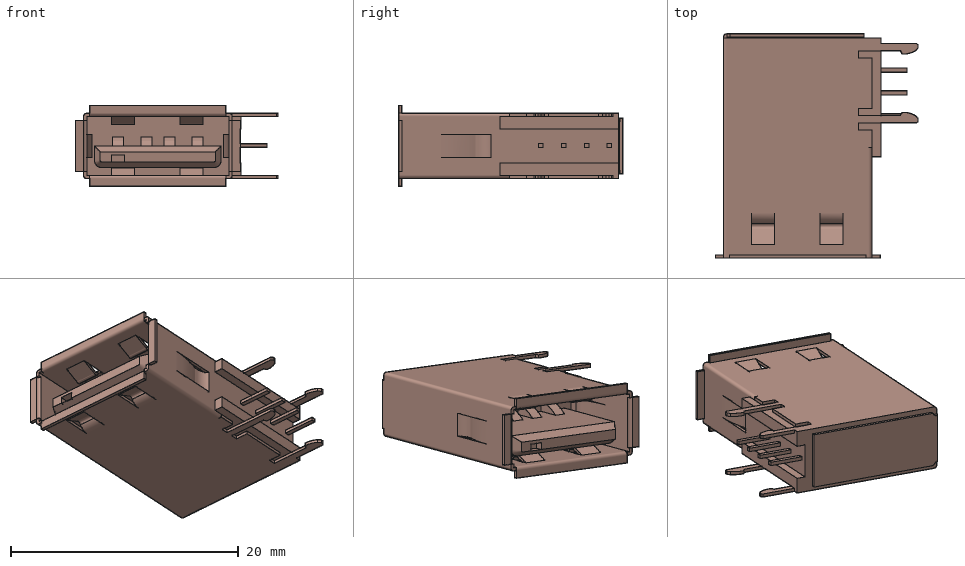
import cadquery as cq


sheet = 0.3
shell_width = 13.06
shell_height = 5.75
shell_length = 19.33
total_length = 19.7
right_wall_length = 9.73
half_height = shell_height / 2
inner_half_height = half_height - sheet

side_lip_reach = 0.7
side_lip_half_span = 2.25
total_height = 7.11
face_lip_half_height = total_height / 2
face_lip_start = 0.55
face_lip_end = shell_width - face_lip_start

back_plate_end = 12.35
back_plate_half_height = 2.45
back_neck_half_height = 2.17

housing_front = 8.88
housing_right = 13.85
housing_channel_half_height = 1.5
tongue_left = 0.98
tongue_right = 12.08
tongue_top = -0.02
tongue_bottom = -1.9
tongue_front = 0.5
tongue_bevel_width = 0.5
tongue_bevel_length = 0.87
tongue_corner = 0.6
tip_corner = 0.1
key_notch_left = 2.46
key_notch_width = 1.16
key_notch_bottom = -1.42
key_notch_height = 0.61
key_notch_depth = 0.79

contact_width = 0.98
contact_centers = (3.03, 5.54, 7.56, 10.03)
contact_knee = 0.4
contact_peak = 0.77
contact_front = 6.7
contact_knee_y = 7.29
contact_peak_y = 8.08
pin_size = 0.4
pin_thickness = 0.32
pin_z = 0.04
pin_end = 16.13
pin_pitch = 2.0
pin_count = 4

leg_width = 0.65
leg_tip_chamfer = 0.14
hook_length = 1.55
hook_ramp = 0.14
hook_crest = 0.4
hook_height = 0.28
hook_nose = 0.24
hook_nose_offset = 0.05
hook_nose_bulge = 0.18
leg_tip = 17.1
leg_slot_depth = 11.85
leg_slot_width = 0.63
rear_leg_y = 18.52
front_leg_y = 12.2

face_spring_lefts = (2.46, 8.47)
face_spring_width = 2.03
face_spring_reach = 0.7
face_spring_front = 1.2
face_spring_ramp_end = 2.6
face_spring_ramp_depth = 0.63
face_spring_bottom = 2.82
face_spring_rise = 3.05
face_spring_rise_depth = 0.5
face_spring_rise_middle = 3.39
face_spring_rise_middle_depth = 0.15
face_spring_back = 3.9
side_spring_half_width = 1.02
side_spring_reach = 0.47
side_spring_front = 3.76
side_spring_flat_start = 6.75
side_spring_flat_end = 7.1
side_spring_back = 8.1


def block(x0, x1, y0, y1, z0, z1):
    """Box given by its limits along each axis."""
    return cq.Workplane("XY").box(x1 - x0, y1 - y0, z1 - z0, centered=False).translate((x0, y0, z0))


def both_faces(shape):
    """A shape on the upper shell face together with its copy on the lower one."""
    return shape.union(shape.mirror("XY"))


def make_shell():
    """Rectangular tube with rounded long edges, open along the back half of its right side."""
    tube = block(0, shell_width, 0, shell_length, -half_height, half_height)
    tube = tube.edges("|Y").fillet(sheet)
    inner_right = shell_width - sheet
    tube = tube.cut(block(sheet, inner_right, 0, shell_length, -inner_half_height, inner_half_height))
    open_side = block(inner_right, shell_width, right_wall_length, shell_length, -half_height, half_height)
    edge_strip = block(
        inner_right, shell_width, right_wall_length, shell_length, inner_half_height, half_height
    )
    rear_corner = block(
        shell_width, housing_right, rear_leg_y, shell_length, inner_half_height, half_height
    )
    return tube.cut(open_side).union(both_faces(edge_strip)).union(both_faces(rear_corner))


def make_leg(center_y, hook_side):
    """Board leg on the upper face; hook_side is the Y direction (+1 or -1) of its hook."""
    half = leg_width / 2
    crest = half + hook_height
    hook_start = leg_tip - hook_length
    crest_start = hook_start + hook_ramp
    crest_end = crest_start + hook_crest
    nose_start = leg_tip - hook_nose
    nose_arc_middle = ((crest_end + nose_start) / 2, (half + hook_nose_bulge) * hook_side)
    return (
        cq.Workplane("XY", origin=(0, center_y, inner_half_height))
        .moveTo(leg_slot_depth, -half * hook_side)
        .lineTo(leg_tip - leg_tip_chamfer, -half * hook_side)
        .lineTo(leg_tip, (leg_tip_chamfer - half) * hook_side)
        .lineTo(leg_tip, hook_nose_offset * hook_side)
        .lineTo(nose_start, half * hook_side)
        .threePointArc(nose_arc_middle, (crest_end, crest * hook_side))
        .lineTo(crest_start, crest * hook_side)
        .lineTo(hook_start, half * hook_side)
        .lineTo(leg_slot_depth, half * hook_side)
        .close()
        .extrude(sheet)
    )


def leg_slot(y0):
    """Relief slot beside a leg, through the upper face."""
    return block(leg_slot_depth, housing_right, y0, y0 + leg_slot_width, inner_half_height, half_height)


def flare_lip(shell, lip, bend_cutter):
    """Add a lip to the shell and round the mouth edge where the sheet bends into it."""
    return shell.union(lip).cut(bend_cutter)


def make_face_lip():
    """Lip turned outwards from the upper face."""
    return block(face_lip_start, face_lip_end, 0, sheet, half_height, face_lip_half_height)


def make_face_bend_cutter():
    """Material removed outside the bend between the upper face and its lip."""
    return (
        cq.Workplane("YZ", origin=(face_lip_start, 0, 0))
        .moveTo(0, half_height)
        .radiusArc((sheet, inner_half_height), -sheet)
        .lineTo(0, inner_half_height)
        .close()
        .extrude(face_lip_end - face_lip_start)
    )


def make_left_lip():
    """Lip turned outwards from the left wall."""
    return block(-side_lip_reach, 0, 0, sheet, -side_lip_half_span, side_lip_half_span)


def make_left_bend_cutter():
    """Material removed outside the bend between the left wall and its lip."""
    return (
        cq.Workplane("XY", origin=(0, 0, -side_lip_half_span))
        .moveTo(0, 0)
        .radiusArc((sheet, sheet), sheet)
        .lineTo(sheet, 0)
        .close()
        .extrude(2 * side_lip_half_span)
    )


def mirror_across_width(shape):
    """The same shape moved to the opposite side wall."""
    return shape.mirror("YZ", (shell_width / 2, 0, 0))


def press_in(shell, pocket, inward):
    """Press a dent into the shell, pushing the sheet inwards along the given shift."""
    return shell.union(pocket.translate(inward)).cut(pocket)


def face_spring_pocket(left):
    """Dent in the upper face: a ramp from the mouth, a rounded bottom and a curved rise to the back."""
    ramp_end = (face_spring_ramp_end, half_height - face_spring_ramp_depth)
    bottom = (face_spring_bottom, half_height - face_spring_reach)
    rise_start = (face_spring_rise, half_height - face_spring_rise_depth)
    rise_middle = (face_spring_rise_middle, half_height - face_spring_rise_middle_depth)
    return (
        cq.Workplane("YZ", origin=(left, 0, 0))
        .moveTo(face_spring_front, half_height)
        .lineTo(*ramp_end)
        .threePointArc(bottom, rise_start)
        .threePointArc(rise_middle, (face_spring_back, half_height))
        .close()
        .extrude(face_spring_width)
    )


def side_spring_pocket():
    """Dent in the left wall: a long arc from the mouth, a short flat bottom and a steep curved end."""
    long_run = side_spring_flat_start - side_spring_front
    long_radius = (long_run**2 + side_spring_reach**2) / (2 * side_spring_reach)
    end_run = side_spring_back - side_spring_flat_end
    end_radius = (end_run**2 + side_spring_reach**2) / (2 * side_spring_reach)
    return (
        cq.Workplane("XY", origin=(0, 0, -side_spring_half_width))
        .moveTo(0, side_spring_front)
        .radiusArc((side_spring_reach, side_spring_flat_start), long_radius)
        .lineTo(side_spring_reach, side_spring_flat_end)
        .radiusArc((0, side_spring_back), -end_radius)
        .close()
        .extrude(2 * side_spring_half_width)
    )


def make_back_plate():
    """Plate closing the back, bent from the left wall through a narrower neck."""
    corner = back_plate_half_height - back_neck_half_height
    neck = block(
        0, sheet + corner, shell_length, total_length, -back_neck_half_height, back_neck_half_height
    )
    neck = neck.edges("|Z and <X and >Y").fillet(sheet)
    plate = block(
        sheet, back_plate_end, total_length - sheet, total_length,
        -back_plate_half_height, back_plate_half_height,
    )
    plate = plate.edges("|Y and <X").chamfer(corner)
    return neck.union(plate)


def make_housing():
    """Plastic block filling the back of the shell, channelled along its open side."""
    body = block(sheet, housing_right, housing_front, shell_length, -inner_half_height, inner_half_height)
    channel = block(
        shell_width, housing_right, housing_front, shell_length,
        -housing_channel_half_height, housing_channel_half_height,
    )
    return body.cut(channel)


def tongue_section(y, inset, corner):
    """Tongue outline at depth y, shrunk by the inset, with rounded lower corners."""
    left = tongue_left + inset
    right = tongue_right - inset
    top = tongue_top - inset
    bottom = tongue_bottom + inset
    return (
        cq.Workplane("XZ", origin=(0, y, 0))
        .moveTo(left, top)
        .lineTo(right, top)
        .lineTo(right, bottom + corner)
        .radiusArc((right - corner, bottom), corner)
        .lineTo(left + corner, bottom)
        .radiusArc((left, bottom + corner), corner)
        .close()
    )


def make_tongue():
    """Tongue reaching from the housing towards the mouth, with a bevelled tip and a key notch."""
    bevel_end = tongue_front + tongue_bevel_length
    tongue = tongue_section(housing_front, 0, tongue_corner).extrude(housing_front - bevel_end)
    tip_wire = tongue_section(tongue_front, tongue_bevel_width, tip_corner)
    base_wire = tongue_section(bevel_end, 0, tongue_corner)
    tip = cq.Solid.makeLoft([base_wire.val(), tip_wire.val()], True)
    tongue = tongue.union(cq.Workplane(tip))
    notch = block(
        key_notch_left, key_notch_left + key_notch_width, tongue_front, tongue_front + key_notch_depth,
        key_notch_bottom, key_notch_bottom + key_notch_height,
    )
    return tongue.cut(notch)


def make_contact(center):
    """Sprung contact rising in two slopes from the top of the tongue to the housing."""
    return (
        cq.Workplane("YZ", origin=(center - contact_width / 2, 0, 0))
        .moveTo(contact_front, tongue_top)
        .lineTo(contact_knee_y, contact_knee)
        .lineTo(contact_peak_y, contact_peak)
        .lineTo(housing_front, contact_peak)
        .lineTo(housing_front, tongue_top)
        .close()
        .extrude(contact_width)
    )


shell = make_shell()
left_lip = make_left_lip()
left_bend_cutter = make_left_bend_cutter()
shell = flare_lip(shell, both_faces(make_face_lip()), both_faces(make_face_bend_cutter()))
shell = flare_lip(shell, left_lip, left_bend_cutter)
shell = flare_lip(shell, mirror_across_width(left_lip), mirror_across_width(left_bend_cutter))

for spring_left in face_spring_lefts:
    pocket = face_spring_pocket(spring_left)
    shell = press_in(shell, pocket, (0, 0, -sheet))
    shell = press_in(shell, pocket.mirror("XY"), (0, 0, sheet))
side_pocket = side_spring_pocket()
shell = press_in(shell, side_pocket, (sheet, 0, 0))
shell = press_in(shell, mirror_across_width(side_pocket), (-sheet, 0, 0))

half_leg = leg_width / 2
slot_starts = (
    rear_leg_y - half_leg - leg_slot_width,
    front_leg_y + half_leg,
    front_leg_y - half_leg - leg_slot_width,
)
for slot_start in slot_starts:
    shell = shell.cut(both_faces(leg_slot(slot_start)))
shell = shell.union(both_faces(make_leg(rear_leg_y, -1)))
shell = shell.union(both_faces(make_leg(front_leg_y, 1)))
shell = shell.union(make_back_plate())

insert = make_housing().union(make_tongue())
for contact_center in contact_centers:
    insert = insert.union(make_contact(contact_center))
for index in range(pin_count):
    pin_y = rear_leg_y - index * pin_pitch
    pin = block(
        shell_width - sheet, pin_end, pin_y - pin_size / 2, pin_y + pin_size / 2,
        pin_z - pin_thickness / 2, pin_z + pin_thickness / 2,
    )
    insert = insert.union(pin)

result = shell.union(insert)